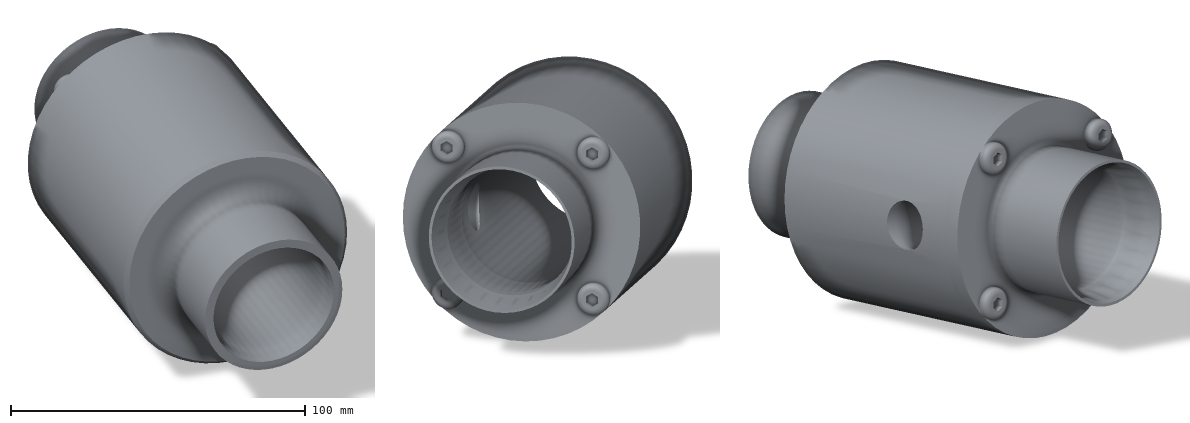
import cadquery as cq
import math

total_length = 147.7
flange_front = 31.6
flange_thickness = 6.4
housing_end = 116.0
joint_x = flange_front + flange_thickness

body_diameter = 82.5
pipe_diameter = 50.7
body_radius = body_diameter / 2
pipe_radius = pipe_diameter / 2

inlet_mouth_diameter = 48.7
inlet_throat_diameter = 44.3
inlet_taper_length = 15.2
inlet_fillet = 1.8

housing_bore_diameter = 44.5
housing_chamfer = 1.5
outlet_fillet = 6.0
port_diameter = 17.1
port_x = 56.7

screw_offset = 25.3
head_diameter = 11.1
head_face_diameter = 7.1
head_height = 3.5
head_rim_height = 1.3
socket_flats = 4.1
socket_depth = 2.4
shank_diameter = 5.0
shank_length = 17.7

screw_positions = [(y * screw_offset, z * screw_offset) for y in (-1, 1) for z in (-1, 1)]


def x_cylinder(diameter, start, length, y=0.0, z=0.0):
    """Solid cylinder parallel to X, starting at X = start."""
    return cq.Workplane("YZ", origin=(start, y, z)).circle(diameter / 2).extrude(length)


def revolve_about_x(profile):
    """Turn a closed profile in the XY plane around the X axis."""
    return profile.close().revolve(360, (0, 0, 0), (1, 0, 0))


def cut_screw_holes(body):
    """Cut the holes that the screw shanks fill."""
    for y, z in screw_positions:
        body = body.cut(x_cylinder(shank_diameter, flange_front, shank_length, y, z))
    return body


def make_inlet_cap():
    """Flange with the inlet pipe, whose bore narrows from the mouth to the throat."""
    throat_radius = inlet_throat_diameter / 2
    arc_center_x = flange_front - inlet_fillet
    arc_center_y = pipe_radius + inlet_fillet
    arc_reach = inlet_fillet * math.sqrt(0.5)
    profile = (
        cq.Workplane("XY")
        .moveTo(0, inlet_mouth_diameter / 2)
        .lineTo(0, pipe_radius)
        .lineTo(arc_center_x, pipe_radius)
        .threePointArc(
            (arc_center_x + arc_reach, arc_center_y - arc_reach),
            (flange_front, arc_center_y),
        )
        .lineTo(flange_front, body_radius)
        .lineTo(joint_x, body_radius)
        .lineTo(joint_x, throat_radius)
        .lineTo(inlet_taper_length, throat_radius)
    )
    return cut_screw_holes(revolve_about_x(profile))


def make_housing():
    """Thick barrel with the outlet pipe and a round port on the +Y side."""
    bore_radius = housing_bore_diameter / 2
    arc_center_x = housing_end + outlet_fillet
    arc_center_y = pipe_radius + outlet_fillet
    arc_reach = outlet_fillet * math.sqrt(0.5)
    profile = (
        cq.Workplane("XY")
        .moveTo(joint_x, bore_radius)
        .lineTo(joint_x, body_radius)
        .lineTo(housing_end - housing_chamfer, body_radius)
        .lineTo(housing_end, body_radius - housing_chamfer)
        .lineTo(housing_end, arc_center_y)
        .threePointArc(
            (arc_center_x - arc_reach, arc_center_y - arc_reach),
            (arc_center_x, pipe_radius),
        )
        .lineTo(total_length, pipe_radius)
        .lineTo(total_length, bore_radius)
    )
    port = (
        cq.Workplane("XZ", origin=(port_x, 0, 0))
        .circle(port_diameter / 2)
        .extrude(-body_radius)
    )
    return cut_screw_holes(revolve_about_x(profile).cut(port))


def make_screw(y, z):
    """Button-head screw with a hexagonal socket, seated on the flange face."""
    head_radius = head_diameter / 2
    face_radius = head_face_diameter / 2
    rim_x = -head_rim_height
    dome_mid_x = rim_x - (head_height - head_rim_height) * math.sqrt(0.5)
    dome_mid_radius = face_radius + (head_radius - face_radius) * math.sqrt(0.5)
    head_profile = (
        cq.Workplane("XY")
        .moveTo(-head_height, 0)
        .lineTo(-head_height, face_radius)
        .threePointArc((dome_mid_x, dome_mid_radius), (rim_x, head_radius))
        .lineTo(0, head_radius)
        .lineTo(0, 0)
    )
    socket = (
        cq.Workplane("YZ", origin=(-head_height, 0, 0))
        .transformed(rotate=(0, 0, 90))
        .polygon(6, socket_flats / math.cos(math.pi / 6))
        .extrude(socket_depth)
    )
    head = revolve_about_x(head_profile)
    shank = x_cylinder(shank_diameter, 0, shank_length)
    return head.union(shank).cut(socket).translate((flange_front, y, z))


inlet_cap = make_inlet_cap()
housing = make_housing()
screws = [make_screw(y, z) for y, z in screw_positions]

result = cq.Compound.makeCompound(
    [inlet_cap.val(), housing.val(), *[screw.val() for screw in screws]]
)